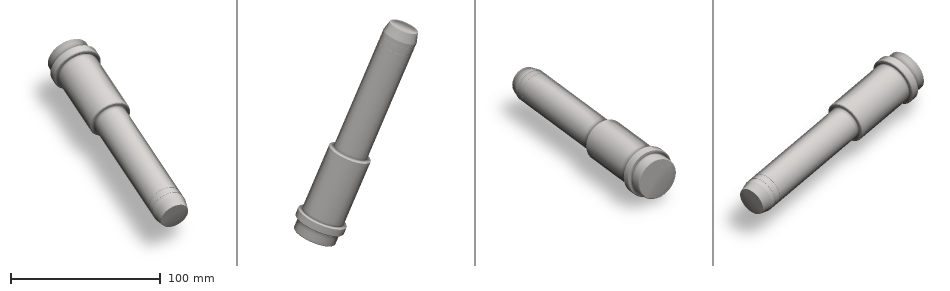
import cadquery as cq
import math

total_length = 160.0

collar_diameter = 35.0
collar_start = 9.0
collar_width = 6.0
collar_end = collar_start + collar_width
collar_chamfer = 0.5

body_diameter = 30.0
body_end = 64.0
body_chamfer = 0.5

lead_in_diameter = 29.99
lead_in_length = 5.0
lead_in_start = body_end - lead_in_length

relief_width = 1.0
relief_depth = 0.3

pin_diameter = 24.0
pin_radius = pin_diameter / 2

oil_groove_starts = (144.5, 149.5)
oil_groove_width = 1.0
oil_groove_depth = 0.2

root_radius = 0.5

nose_length = 7.0
nose_angle = math.radians(15)
nose_start = total_length - nose_length
tip_radius = pin_radius - nose_length * math.tan(nose_angle)


def cylinder(start, end, diameter):
    """Cylinder on the X axis between two stations."""
    return cq.Workplane("YZ", origin=(start, 0, 0)).circle(diameter / 2).extrude(end - start)


def ring_groove(start, width, outer_diameter, depth):
    """Ring to be cut from a cylinder of the given diameter."""
    ring = cylinder(start, start + width, outer_diameter)
    return ring.cut(cylinder(start, start + width, outer_diameter - 2 * depth))


def make_collar():
    return cylinder(collar_start, collar_end, collar_diameter).edges().chamfer(collar_chamfer)


def make_body():
    rear = cylinder(0, lead_in_start, body_diameter).faces("<X").edges().chamfer(body_chamfer)
    lead_in = cylinder(lead_in_start, body_end, lead_in_diameter)
    lead_in = lead_in.faces(">X").edges().chamfer(body_chamfer)
    body = rear.union(lead_in)
    for start in (collar_start - relief_width, collar_end):
        body = body.cut(ring_groove(start, relief_width, body_diameter, relief_depth))
    return body


def make_pin():
    pin = (
        cq.Workplane("XY")
        .moveTo(body_end, 0)
        .lineTo(body_end, pin_radius + root_radius)
        .radiusArc((body_end + root_radius, pin_radius), -root_radius)
        .lineTo(nose_start, pin_radius)
        .lineTo(total_length, tip_radius)
        .lineTo(total_length, 0)
        .close()
        .revolve(360, (0, 0, 0), (1, 0, 0))
    )
    for start in oil_groove_starts:
        pin = pin.cut(ring_groove(start, oil_groove_width, pin_diameter, oil_groove_depth))
    return pin


result = make_body().union(make_collar()).union(make_pin())